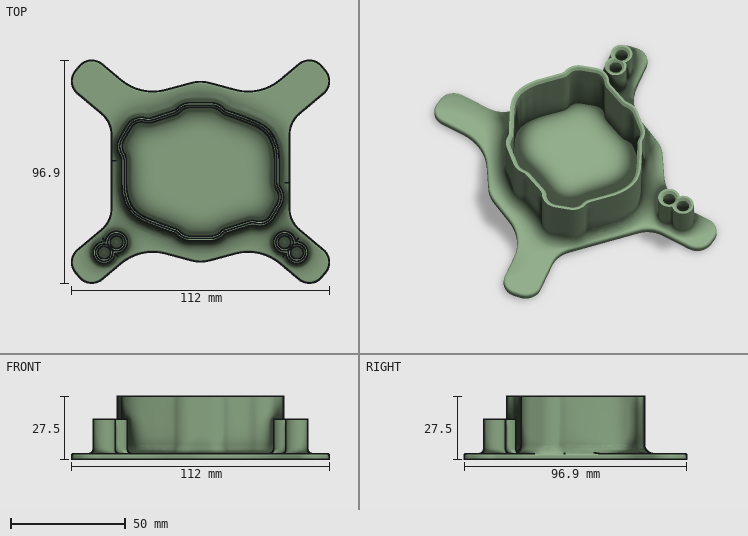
import cadquery as cq
import math

plate_thickness = 2.5
plate_edge_round = 1.0
plate_half_width = 38.75
apex_height = 39.7
apex_slope = 15.0
apex_radius = 15.0
arm_angle = 40.0
arm_reach = 69.86
arm_half_width = 8.35
arm_end_radius = 7.0
arm_side_radius = 12.0
arm_apex_radius = 21.5

cup_top = 27.5
cup_wall = 2.0
cup_floor = 1.0
cup_rim_chamfer = 1.0
cup_base_fillet = 4.0
lobe_blend_radius = 4.0
cup_half_width = 34.2
straight_end = 4.7
straight_top = 9.0
slope_start = (8.0, 27.75)
slope_angle = 18.0
sloped_edge_length = 19.6
shoulder_offset = 4.4
shoulder_samples = 10
shoulder_points = [(33.7, 10.2), (30.0, 18.0), (20.0, 23.6)]

end_lobe_y = 30.0
end_lobe_radius = 8.0
end_lobe_spacing = 8.8
corner_lobe_center = (-27.3, 13.7)
corner_lobe_radius = 7.25
corner_lobe_spacing = 6.2
corner_lobe_angle = 60.0

lobe_notches = [(10.9, 26.8), (-10.8, 26.9), (-22.7, 23.0), (-34.2, 6.2)]

post_top = 17.5
post_radius = 4.75
post_hole_diameter = 5.5
post_hole_bottom = plate_thickness
post_hole_chamfer = 1.0
post_base_fillet = 2.0
post_distances = (47.7, 54.7)

height_tolerance = 0.01


def polar(radius, degrees):
    angle = math.radians(degrees)
    return cq.Vector(radius * math.cos(angle), radius * math.sin(angle))


def line_crossing(point_a, dir_a, point_b, dir_b):
    """Point where two lines, each given by a point and a direction, cross."""
    gap = point_b - point_a
    along = gap.cross(dir_b).z / dir_a.cross(dir_b).z
    return point_a + dir_a * along


def rounded_polygon(corners):
    """Closed outline through (point, radius) corners, each rounded by a tangent arc."""
    rounded = []
    for i, (point, radius) in enumerate(corners):
        to_last = (corners[i - 1][0] - point).normalized()
        to_next = (corners[(i + 1) % len(corners)][0] - point).normalized()
        half_angle = to_last.getAngle(to_next) / 2
        setback = radius / math.tan(half_angle)
        bisector = (to_last + to_next).normalized()
        middle = point + bisector * (radius / math.sin(half_angle) - radius)
        rounded.append((point + to_last * setback, middle, point + to_next * setback))

    first_end = rounded[0][2]
    outline = cq.Workplane("XY").moveTo(first_end.x, first_end.y)
    for start, middle, end in rounded[1:] + rounded[:1]:
        outline = outline.lineTo(start.x, start.y)
        outline = outline.threePointArc((middle.x, middle.y), (end.x, end.y))
    return outline.close()


def plate_corners():
    """Corners of the plate, counterclockwise from the first arm, each with its radius."""
    along = polar(1, arm_angle)
    across = polar(1, arm_angle + 90)
    low_end = along * arm_reach - across * arm_half_width
    high_end = along * arm_reach + across * arm_half_width
    apex = cq.Vector(0, apex_height)
    side_root = line_crossing(low_end, along, cq.Vector(plate_half_width, 0), cq.Vector(0, 1))
    apex_root = line_crossing(high_end, along, apex, polar(1, -apex_slope))
    half = [
        (side_root, arm_side_radius),
        (low_end, arm_end_radius),
        (high_end, arm_end_radius),
        (apex_root, arm_apex_radius),
    ]
    mirrored = [(cq.Vector(-p.x, p.y), r) for p, r in reversed(half)]
    upper = half + [(apex, apex_radius)] + mirrored
    return upper + [(p * -1, r) for p, r in upper]


def make_plate():
    plate = rounded_polygon(plate_corners()).extrude(plate_thickness)
    return plate.faces(">Z").edges().fillet(plate_edge_round)


def shoulder_curve(inset):
    """Swept shoulder of the core from the straight side to the sloped edge, moved inwards."""
    start = cq.Vector(cup_half_width, -straight_end)
    middle = [cq.Vector(*point) for point in shoulder_points]
    end = cq.Vector(*slope_start) + polar(shoulder_offset, -slope_angle)
    tangents = [cq.Vector(0, 1), polar(-1, -slope_angle)]
    outer = cq.Edge.makeSpline([start] + middle + [end], tangents=tangents)
    if inset == 0:
        return outer
    moved = []
    for i in range(shoulder_samples + 1):
        along = outer.tangentAt(i / shoulder_samples)
        inwards = cq.Vector(-along.y, along.x).normalized()
        moved.append(outer.positionAt(i / shoulder_samples) + inwards * inset)
    return cq.Edge.makeSpline(moved, tangents=tangents)


def half_core(inset):
    """Half of the core: swept shoulder on the right, straight slope on the left."""
    shoulder = shoulder_curve(inset)
    slope_top = cq.Vector(*slope_start) - cq.Vector(0, inset / math.cos(math.radians(slope_angle)))
    far_slope_top = cq.Vector(-slope_top.x, slope_top.y)
    far_slope_end = far_slope_top - polar(sloped_edge_length, slope_angle)
    points = [
        shoulder.endPoint(),
        slope_top,
        far_slope_top,
        far_slope_end,
        cq.Vector(inset - cup_half_width, straight_top),
        shoulder.startPoint() * -1,
        shoulder.startPoint(),
    ]
    sides = [cq.Edge.makeLine(a, b) for a, b in zip(points, points[1:])]
    outline = cq.Wire.assembleEdges([shoulder] + sides)
    return cq.Workplane("XY").add(outline).toPending().extrude(cup_top)


def lobe(center, radius, spacing, angle, inset):
    x, y = center
    width = 2 * (radius - inset)
    outline = cq.Workplane("XY").center(x, y).slot2D(spacing + width, width, angle)
    return outline.extrude(cup_top)


def cup_block(inset):
    """Solid inside the cup's outline moved inwards, with its lobes blended into the core."""
    end_center = (0, end_lobe_y - end_lobe_radius)
    half = (
        half_core(inset)
        .union(lobe(end_center, end_lobe_radius, end_lobe_spacing, 0, inset))
        .union(lobe(corner_lobe_center, corner_lobe_radius, corner_lobe_spacing, corner_lobe_angle, inset))
    )
    block = half.union(half.rotate((0, 0, 0), (0, 0, 1), 180)).clean()
    for x, y in lobe_notches:
        for side in (1, -1):
            notch = cq.selectors.NearestToPointSelector((side * x, side * y, cup_top / 2))
            block = block.edges(notch).fillet(lobe_blend_radius + inset)
    return block


def foot_edges(body, point):
    """Edges on the plate's top where the feature standing at the point meets the plate."""
    plate_top = [
        face for face in body.faces("|Z").vals()
        if abs(face.Center().z - plate_thickness) < height_tolerance
    ]
    feet = [wire for face in plate_top for wire in face.innerWires()]
    nearest = min(feet, key=lambda wire: (wire.Center() - point).Length)
    return body.newObject(nearest.Edges())


def add_cup(plate):
    """Cup on the plate, flared where it meets the plate, hollow and open at the top."""
    body = plate.union(cup_block(0))
    body = foot_edges(body, cq.Vector(0, 0, plate_thickness)).fillet(cup_base_fillet)
    body = body.cut(cup_block(cup_wall).translate((0, 0, cup_floor)))
    inner_rim = body.faces(">Z").wires(cq.selectors.LengthNthSelector(0))
    return inner_rim.chamfer(cup_rim_chamfer)


def post_hole(spot):
    """Blind round hole with a chamfered mouth, as a solid to cut away."""
    hole_radius = post_hole_diameter / 2
    profile = (
        cq.Workplane("XZ", origin=(spot.x, spot.y, 0))
        .moveTo(0, post_hole_bottom)
        .lineTo(hole_radius, post_hole_bottom)
        .lineTo(hole_radius, post_top - post_hole_chamfer)
        .lineTo(hole_radius + post_hole_chamfer, post_top)
        .lineTo(0, post_top)
        .close()
    )
    return profile.revolve(360, (0, 0), (0, 1))


def add_posts(body, side):
    """Two merged posts on one front arm, with blind chamfered holes."""
    spots = [cq.Vector(side * spot.x, spot.y) for spot in (polar(d, -arm_angle) for d in post_distances)]
    for spot in spots:
        body = body.union(cq.Workplane("XY").center(spot.x, spot.y).circle(post_radius).extrude(post_top))
    middle = (spots[0] + spots[1]) / 2 + cq.Vector(0, 0, plate_thickness)
    body = foot_edges(body, middle).fillet(post_base_fillet)
    for spot in spots:
        body = body.cut(post_hole(spot))
    return body


result = add_posts(add_posts(add_cup(make_plate()), -1), 1)